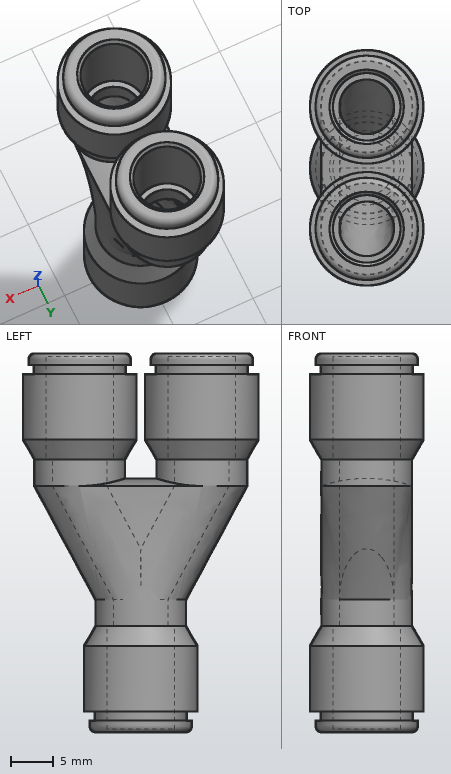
import cadquery as cq
import math

total_length = 45.0
branch_spacing = 14.5
branch_offset = branch_spacing / 2

lip_diameter = 12.15
lip_height = 1.4
lip_fillet = 0.75
collar_diameter = 10.95
collar_end = 2.48
body_diameter = 13.5
body_end = 10.25
taper_end = 12.6
neck_diameter = 10.8
neck_end = 15.75

tube_bore_diameter = 8.0
tube_bore_depth = 12.6
bore_chamfer = 0.4
passage_diameter = 6.5

crotch_bottom = neck_end
crotch_top = total_length - neck_end
crotch_height = crotch_top - crotch_bottom
saddle_rise = 0.9
neck_radius = neck_diameter / 2
flank_half_angle = math.radians(54)


def socket_outside():
    """Socket standing on its open end at Z = 0, with the neck on top."""
    profile = [
        (0, 0),
        (lip_diameter / 2, 0),
        (lip_diameter / 2, lip_height),
        (collar_diameter / 2, lip_height),
        (collar_diameter / 2, collar_end),
        (body_diameter / 2, collar_end),
        (body_diameter / 2, body_end),
        (neck_radius, taper_end),
        (neck_radius, neck_end),
        (0, neck_end),
    ]
    solid = cq.Workplane("XZ").polyline(profile).close().revolve(360, (0, 0), (0, 1))
    return solid.faces("<Z").edges().fillet(lip_fillet)


def socket_bore():
    """Chamfered tube bore with the narrower passage beyond its shoulder."""
    bore_radius = tube_bore_diameter / 2
    passage_radius = passage_diameter / 2
    profile = [
        (0, 0),
        (bore_radius + bore_chamfer, 0),
        (bore_radius, bore_chamfer),
        (bore_radius, tube_bore_depth),
        (passage_radius, tube_bore_depth),
        (passage_radius, neck_end),
        (0, neck_end),
    ]
    return cq.Workplane("XZ").polyline(profile).close().revolve(360, (0, 0), (0, 1))


def as_branch(socket, side):
    """Turn a socket to open upward and move it to the branch on the given side."""
    turned = socket.rotate((0, 0, 0), (1, 0, 0), 180)
    return turned.translate((0, side * branch_offset, total_length))


def slanted_passage(side):
    """Slanted passage joining the lower neck to the branch on the given side."""
    return (
        cq.Workplane("XY")
        .workplane(offset=crotch_bottom)
        .circle(passage_diameter / 2)
        .workplane(offset=crotch_height)
        .center(0, side * branch_offset)
        .circle(passage_diameter / 2)
        .loft(ruled=True)
    )


def crotch_lower_outline():
    """Neck circle split into four arcs, so that two of them can meet the straight sides of the slot."""
    x = neck_radius * math.cos(flank_half_angle)
    y = neck_radius * math.sin(flank_half_angle)
    return (
        cq.Workplane("XY")
        .workplane(offset=crotch_bottom)
        .moveTo(x, -y)
        .threePointArc((neck_radius, 0), (x, y))
        .threePointArc((0, neck_radius), (-x, y))
        .threePointArc((-neck_radius, 0), (-x, -y))
        .threePointArc((0, -neck_radius), (x, -y))
        .close()
        .val()
    )


def crotch_upper_outline():
    """Slot shape wrapping both branch necks."""
    end_reach = branch_offset + neck_radius
    return (
        cq.Workplane("XY")
        .workplane(offset=crotch_top)
        .moveTo(neck_radius, -branch_offset)
        .lineTo(neck_radius, branch_offset)
        .threePointArc((0, end_reach), (-neck_radius, branch_offset))
        .lineTo(-neck_radius, -branch_offset)
        .threePointArc((0, -end_reach), (neck_radius, -branch_offset))
        .close()
        .val()
    )


def crotch():
    """Ruled body blending the round lower neck into the slot around both branches."""
    outlines = [crotch_lower_outline(), crotch_upper_outline()]
    return cq.Workplane(cq.Solid.makeLoft(outlines, True))


def saddle():
    """Arched cap on the fork, running from one branch axis to the other."""
    return (
        cq.Workplane("XZ")
        .moveTo(-neck_radius, crotch_top)
        .threePointArc((0, crotch_top + saddle_rise), (neck_radius, crotch_top))
        .close()
        .extrude(branch_offset, both=True)
    )


outside = socket_outside().union(crotch()).union(saddle())
passages = socket_bore()
for side in (-1, 1):
    outside = outside.union(as_branch(socket_outside(), side))
    passages = passages.union(slanted_passage(side))
    passages = passages.union(as_branch(socket_bore(), side))

result = outside.cut(passages)